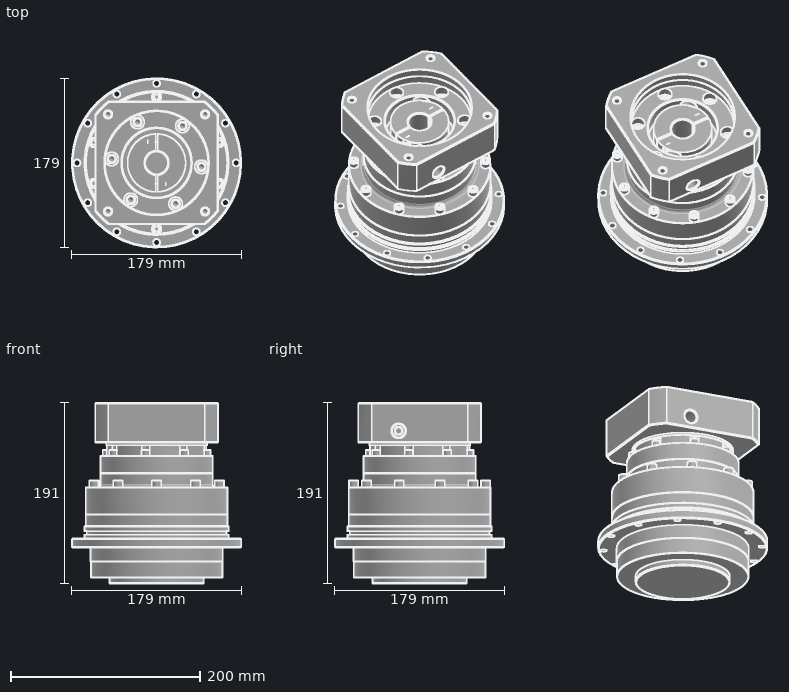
import cadquery as cq
import math


output_end_z = 6.5
lower_joint_z = 23.3
flange_bottom_z = 38.2
flange_top_z = 48
groove_bottom_z = 51.9
groove_top_z = 55.6
pilot_top_z = 61.4
middle_joint_z = 73.2
shoulder_z = 102.2
upper_joint_z = 116.9
deck_z = 135.5
collar_z = 146.6
adapter_bottom_z = 149
adapter_top_z = 191

output_diameter = 100
output_cover_diameter = 139.3
lower_diameter = 140
flange_diameter = 179
pilot_diameter = 152.6
groove_diameter = 148
middle_diameter = 150
upper_diameter = 118.7
neck_diameter = 105.4
collar_diameter = 107
edge_chamfer = 1.0
small_chamfer = 0.5
joint_depth = 0.4
shoulder_fillet = 3.0

flange_hole_count = 12
flange_hole_diameter = 7
flange_hole_circle_radius = 84

large_screw_count = 10
large_screw_circle_radius = 69.7
large_screw_first_angle = 90
large_head_diameter = 10
large_head_height = 7.1
large_socket_width = 5
small_screw_count = 8
small_screw_circle_radius = 54.1
small_screw_first_angle = -12.5
small_head_diameter = 8.5
small_head_height = 6
small_socket_width = 4
socket_depth_ratio = 0.5
notch_diameter = 9.5

adapter_width = 130
adapter_corner_diameter = 165
pilot_bore_diameter = 110
pilot_bore_depth = 10
inner_bore_diameter = 109
adapter_floor_z = adapter_top_z - 20.2
hub_opening_diameter = 73
motor_hole_circle_radius = 72.5
motor_hole_count = 4
motor_hole_first_angle = 45
motor_hole_diameter = 6.8
motor_hole_mouth = 9
motor_hole_depth = 20
fixing_hole_count = 6
fixing_hole_circle_radius = 47.6
fixing_first_angle = -5
fixing_counterbore_diameter = 14.3
fixing_counterbore_depth = 11
fixing_hole_diameter = 7.4
fixing_hole_mouth = 9.4
fixing_hole_depth = 5
drill_point_angle = 118

hub_diameter = 61.4
hub_top_z = adapter_top_z - 21.7
stem_diameter = 44
stem_bottom_z = upper_joint_z
hub_bore_diameter = 24
hub_bore_depth = 45
slot_width = 2
clamp_offset = 22.2
clamp_z = 161.6
clamp_seat_x = 9.5
clamp_hole_end_x = 4
clamp_hole_diameter = 7.2
clamp_hole_mouth = 8.7
access_hole_diameter = 13.8


def polar_point(radius, angle):
    """XY point at the given radius and angle in degrees."""
    return radius * math.cos(math.radians(angle)), radius * math.sin(math.radians(angle))


def circle_points(count, radius, first_angle=0):
    return [polar_point(radius, first_angle + 360 / count * i) for i in range(count)]


def disc(diameter, bottom, top):
    return cq.Workplane("XY").workplane(offset=bottom).circle(diameter / 2).extrude(top - bottom)


def joint_groove(diameter, level):
    """Small V-shaped ring that marks the joint between two stacked sections."""
    radius = diameter / 2
    return (
        cq.Workplane("XZ")
        .moveTo(radius - joint_depth, level)
        .lineTo(radius + joint_depth, level + 2 * joint_depth)
        .lineTo(radius + joint_depth, level - 2 * joint_depth)
        .close()
        .revolve(360, (0, 0), (0, 1))
    )


def cap_head(diameter, height, socket_width):
    """Screw head standing on the origin, with a hexagonal socket in its top."""
    hexagon_diameter = socket_width / math.cos(math.radians(30))
    return (
        disc(diameter, 0, height)
        .faces(">Z")
        .chamfer(small_chamfer)
        .faces(">Z")
        .workplane()
        .polygon(6, hexagon_diameter)
        .cutBlind(-height * socket_depth_ratio)
    )


def drilled_hole(diameter, mouth_diameter, depth):
    """Cutter for a blind hole below the origin: countersunk mouth and conical drill point."""
    radius = diameter / 2
    mouth_radius = mouth_diameter / 2
    point_depth = radius / math.tan(math.radians(drill_point_angle / 2))
    return (
        cq.Workplane("XZ")
        .moveTo(0, 0)
        .lineTo(mouth_radius, 0)
        .lineTo(radius, radius - mouth_radius)
        .lineTo(radius, -depth)
        .lineTo(0, -depth - point_depth)
        .close()
        .revolve(360, (0, 0), (0, 1))
    )


def make_housing():
    output_end = disc(output_diameter, 0, output_end_z).faces("<Z").chamfer(edge_chamfer)
    output_cover = disc(output_cover_diameter, output_end_z, lower_joint_z).faces("<Z").chamfer(small_chamfer)
    lower = disc(lower_diameter, lower_joint_z, flange_bottom_z)
    flange = disc(flange_diameter, flange_bottom_z, flange_top_z).edges().chamfer(edge_chamfer)
    pilot = disc(pilot_diameter, flange_top_z, pilot_top_z).faces(">Z").chamfer(edge_chamfer)
    middle = disc(middle_diameter, pilot_top_z, shoulder_z).faces(">Z").chamfer(small_chamfer)
    upper = disc(upper_diameter, shoulder_z, deck_z).faces(">Z").chamfer(small_chamfer)
    neck = disc(neck_diameter, deck_z, collar_z)
    collar = disc(collar_diameter, collar_z, adapter_bottom_z)
    body = output_end
    for section in (output_cover, lower, flange, pilot, middle, upper):
        body = body.union(section)

    upper_radius = upper_diameter / 2
    fillet_ring = (
        cq.Workplane("XZ")
        .moveTo(upper_radius, shoulder_z)
        .lineTo(upper_radius + shoulder_fillet, shoulder_z)
        .radiusArc((upper_radius, shoulder_z + shoulder_fillet), shoulder_fillet)
        .close()
        .revolve(360, (0, 0), (0, 1))
    )
    body = body.union(fillet_ring)

    seal_groove = disc(pilot_diameter, groove_bottom_z, groove_top_z)
    body = body.cut(seal_groove.cut(disc(groove_diameter, groove_bottom_z, groove_top_z)))
    body = body.cut(joint_groove(lower_diameter, lower_joint_z))
    body = body.cut(joint_groove(middle_diameter, middle_joint_z))
    body = body.cut(joint_groove(upper_diameter, upper_joint_z))

    small_screw_points = circle_points(small_screw_count, small_screw_circle_radius, small_screw_first_angle)
    for x, y in small_screw_points:
        neck = neck.cut(disc(notch_diameter, deck_z, collar_z).translate((x, y, 0)))
    body = body.union(neck).union(collar)

    body = body.cut(disc(stem_diameter, stem_bottom_z, adapter_bottom_z))

    for x, y in circle_points(flange_hole_count, flange_hole_circle_radius):
        body = body.cut(disc(flange_hole_diameter, flange_bottom_z, flange_top_z).translate((x, y, 0)))

    small_head = cap_head(small_head_diameter, small_head_height, small_socket_width)
    for x, y in small_screw_points:
        body = body.union(small_head.translate((x, y, deck_z)))
    large_head = cap_head(large_head_diameter, large_head_height, large_socket_width)
    for x, y in circle_points(large_screw_count, large_screw_circle_radius, large_screw_first_angle):
        body = body.union(large_head.translate((x, y, shoulder_z)))
    return body


def access_hole():
    """Cutter from the -X side to the hub opening, with a chamfered mouth."""
    plate_side = adapter_width / 2
    mouth = cq.Workplane("YZ").workplane(offset=-plate_side).center(clamp_offset, clamp_z)
    hole = mouth.circle(access_hole_diameter / 2).extrude(plate_side)
    chamfer = mouth.circle(access_hole_diameter / 2 + edge_chamfer).extrude(edge_chamfer, taper=45)
    return hole.union(chamfer)


def make_adapter():
    height = adapter_top_z - adapter_bottom_z
    plate = (
        cq.Workplane("XY")
        .workplane(offset=adapter_bottom_z)
        .rect(adapter_width, adapter_width)
        .extrude(height)
        .intersect(disc(adapter_corner_diameter, adapter_bottom_z, adapter_top_z))
        .faces("<Z or >Z")
        .chamfer(edge_chamfer)
    )

    pilot_floor_z = adapter_top_z - pilot_bore_depth
    bore_chamfer = (
        cq.Workplane("XY")
        .workplane(offset=adapter_top_z)
        .circle(pilot_bore_diameter / 2 + small_chamfer)
        .extrude(-small_chamfer, taper=45)
    )
    opening_chamfer = (
        cq.Workplane("XY")
        .workplane(offset=adapter_floor_z)
        .circle(hub_opening_diameter / 2 + edge_chamfer)
        .extrude(-edge_chamfer, taper=45)
    )
    plate = plate.cut(disc(pilot_bore_diameter, pilot_floor_z, adapter_top_z)).cut(bore_chamfer)
    plate = plate.cut(disc(inner_bore_diameter, adapter_floor_z, pilot_floor_z))
    plate = plate.cut(disc(hub_opening_diameter, adapter_bottom_z, adapter_floor_z)).cut(opening_chamfer)

    motor_hole = drilled_hole(motor_hole_diameter, motor_hole_mouth, motor_hole_depth)
    for x, y in circle_points(motor_hole_count, motor_hole_circle_radius, motor_hole_first_angle):
        plate = plate.cut(motor_hole.translate((x, y, adapter_top_z)))

    counterbore_floor_z = adapter_floor_z - fixing_counterbore_depth
    counterbore = disc(fixing_counterbore_diameter, counterbore_floor_z, adapter_floor_z)
    fixing_hole = drilled_hole(fixing_hole_diameter, fixing_hole_mouth, fixing_hole_depth)
    for x, y in circle_points(fixing_hole_count, fixing_hole_circle_radius, fixing_first_angle):
        plate = plate.cut(counterbore.translate((x, y, 0)))
        plate = plate.cut(fixing_hole.translate((x, y, counterbore_floor_z)))

    for turn in (0, 180):
        plate = plate.cut(access_hole().rotate((0, 0, 0), (0, 0, 1), turn))
    return plate


def clamp_seat():
    """Cutter from the -X side of the hub: flat screw seat and a countersunk blind hole in it."""
    hub_radius = hub_diameter / 2
    seat = (
        cq.Workplane("YZ")
        .workplane(offset=-hub_radius)
        .center(clamp_offset, clamp_z)
        .circle(access_hole_diameter / 2)
        .extrude(hub_radius - clamp_seat_x)
    )
    hole_depth = clamp_seat_x - clamp_hole_end_x
    hole = (
        cq.Workplane("YZ")
        .workplane(offset=-clamp_seat_x)
        .center(clamp_offset, clamp_z)
        .circle(clamp_hole_diameter / 2)
        .extrude(hole_depth)
    )
    countersink = (
        cq.Workplane("YZ")
        .workplane(offset=-clamp_seat_x)
        .center(clamp_offset, clamp_z)
        .circle(clamp_hole_mouth / 2)
        .extrude((clamp_hole_mouth - clamp_hole_diameter) / 2, taper=45)
    )
    return seat.union(hole).union(countersink)


def make_hub():
    head = disc(hub_diameter, adapter_bottom_z, hub_top_z)
    stem = disc(stem_diameter, stem_bottom_z, adapter_bottom_z)
    bore = disc(hub_bore_diameter, hub_top_z - hub_bore_depth, hub_top_z)
    bore_chamfer = (
        cq.Workplane("XY")
        .workplane(offset=hub_top_z)
        .circle(hub_bore_diameter / 2 + edge_chamfer)
        .extrude(-edge_chamfer, taper=45)
    )

    slot = (
        cq.Workplane("XY")
        .workplane(offset=adapter_bottom_z)
        .rect(slot_width, hub_diameter)
        .extrude(hub_top_z - adapter_bottom_z)
    )
    body = head.union(stem).cut(bore).cut(bore_chamfer).cut(slot)

    for turn in (0, 180):
        body = body.cut(clamp_seat().rotate((0, 0, 0), (0, 0, 1), turn))
    return body


housing = make_housing()
adapter = make_adapter()
hub = make_hub()

result = cq.Compound.makeCompound([housing.val(), adapter.val(), hub.val()])